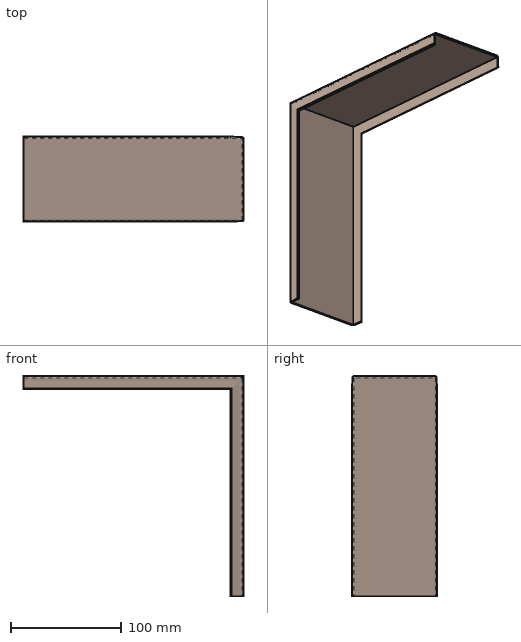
import cadquery as cq
import math

arm_length = 200.0
overall_width = 77.59

web_thickness = 1.75
side_thickness = 1.2
corner_radius = 2.0
flare_depth = 4.5
widest_depth = 10.6
lip_shoulder_depth = 11.0
lip_depth = 12.12
flare = 0.5
lip_chamfer = 0.85
lip_slope = 0.11

half_width = overall_width / 2
half_web = half_width - flare
inner_side = half_web - side_thickness
tip_outer = half_width - lip_chamfer
tip_inner = inner_side + lip_slope * (lip_depth - widest_depth)
tip_rise = lip_slope * (tip_outer - tip_inner)


def channel_profile(plane):
    """Closed channel section: flat web, rounded corners and flared side walls."""
    arc_inset = corner_radius * (1 - math.sqrt(0.5))
    web_edge = half_web - corner_radius
    right_wall = [
        (half_web, -flare_depth),
        (half_width, -widest_depth),
        (half_width, -lip_shoulder_depth),
        (tip_outer, tip_rise - lip_depth),
        (tip_inner, -lip_depth),
        (inner_side, -widest_depth),
        (inner_side, -web_thickness),
    ]
    left_wall = [(-across, height) for across, height in reversed(right_wall)]
    profile = (
        cq.Workplane(plane)
        .moveTo(-web_edge, 0)
        .lineTo(web_edge, 0)
        .threePointArc((half_web - arc_inset, -arc_inset), (half_web, -corner_radius))
    )
    for point in right_wall + left_wall:
        profile = profile.lineTo(*point)
    return (
        profile.lineTo(-half_web, -corner_radius)
        .threePointArc((arc_inset - half_web, -arc_inset), (-web_edge, 0))
        .close()
    )


def mitre_wedge():
    """Triangular prism on the top arm's side of the 45 degree mitre plane."""
    return (
        cq.Workplane("XZ")
        .polyline([(0, arm_length), (arm_length, arm_length), (0, 0)])
        .close()
        .extrude(half_width, both=True)
    )


def top_arm():
    """Arm along X with its web facing up, cut at the mitre."""
    section_plane = cq.Plane(origin=(0, 0, arm_length), xDir=(0, 1, 0), normal=(1, 0, 0))
    return channel_profile(section_plane).extrude(arm_length).intersect(mitre_wedge())


def side_arm(arm):
    """Arm along Z: the top arm reflected across the mitre plane."""
    return arm.rotate((0, 0, 0), (0, 1, 0), 90).mirror("XY")


upper = top_arm()
result = upper.union(side_arm(upper))